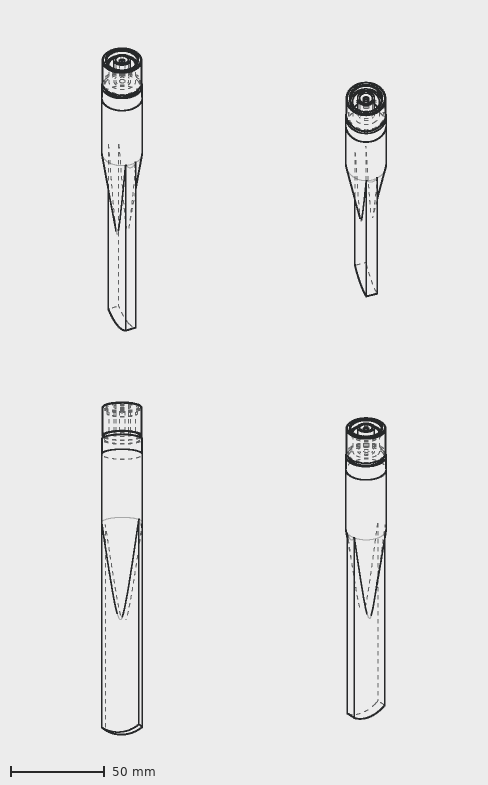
import cadquery as cq

TOTAL_LENGTH = 179.5
NUT_LENGTH = 15.8
NECK_LENGTH = 2.0
COLLAR_LENGTH = 8.3
SLEEVE_LENGTH = 37.3
TAPER_LENGTH = 54.2
neck_top = TOTAL_LENGTH - NUT_LENGTH
collar_top = neck_top - NECK_LENGTH
seam_height = collar_top - COLLAR_LENGTH
sleeve_bottom = seam_height - SLEEVE_LENGTH

NUT_DIAMETER = 21.0
NUT_CHAMFER = 0.5
NECK_DIAMETER = 19.0
COLLAR_DIAMETER = 21.5
BODY_DIAMETER = 21.7
MOUTH_DIAMETER = 17.6
ENTRY_DIAMETER = 16.5
BORE_DIAMETER = 14.4
TUBE_DIAMETER = 9.0
TUBE_BORE_DIAMETER = 6.8
PIN_DIAMETER = 3.0
PIN_TIP_DIAMETER = 1.6

MOUTH_DEPTH = 0.5
ENTRY_DEPTH = 3.5
BORE_DEPTH = 14.4
PIN_RECESS = 0.2
PIN_TIP_LENGTH = 0.7

BLADE_WIDTH = 21.0
BLADE_THICKNESS = 6.1
TIP_RISE = 3.5


def cylinder(diameter, bottom, top):
    """Solid cylinder on the Z axis between two heights."""
    return cq.Workplane("XY").workplane(offset=bottom).circle(diameter / 2).extrude(top - bottom)


def cone(bottom_diameter, top_diameter, bottom, top):
    """Solid truncated cone on the Z axis between two heights."""
    return cq.Workplane("XY").add(
        cq.Solid.makeCone(bottom_diameter / 2, top_diameter / 2, top - bottom, pnt=cq.Vector(0, 0, bottom))
    )


def make_connector():
    """Nut, neck and collar around a stepped socket with a tapered centre pin."""
    floor = TOTAL_LENGTH - BORE_DEPTH
    mouth_bottom = TOTAL_LENGTH - MOUTH_DEPTH
    entry_bottom = TOTAL_LENGTH - ENTRY_DEPTH
    pin_top = TOTAL_LENGTH - PIN_RECESS
    shoulder = pin_top - PIN_TIP_LENGTH

    shell = cylinder(COLLAR_DIAMETER, seam_height, collar_top)
    shell = shell.union(cylinder(NECK_DIAMETER, collar_top, neck_top))
    nut = cylinder(NUT_DIAMETER, neck_top, TOTAL_LENGTH).faces(">Z").chamfer(NUT_CHAMFER)
    shell = shell.union(nut)

    shell = shell.cut(cylinder(BORE_DIAMETER, floor, TOTAL_LENGTH))
    shell = shell.cut(cylinder(ENTRY_DIAMETER, entry_bottom, TOTAL_LENGTH))
    shell = shell.cut(cone(ENTRY_DIAMETER, MOUTH_DIAMETER, mouth_bottom, TOTAL_LENGTH))

    tube = cylinder(TUBE_DIAMETER, floor, TOTAL_LENGTH).cut(cylinder(TUBE_BORE_DIAMETER, floor, TOTAL_LENGTH))
    pin = cylinder(PIN_DIAMETER, floor, shoulder)
    pin = pin.union(cone(PIN_DIAMETER, PIN_TIP_DIAMETER, shoulder, pin_top))
    return shell.union(tube).union(pin)


def make_blade():
    """Flat blade with an arched lower end."""
    half_width = BLADE_WIDTH / 2
    return (
        cq.Workplane("XZ")
        .moveTo(-half_width, sleeve_bottom)
        .lineTo(-half_width, TIP_RISE)
        .threePointArc((0, 0), (half_width, TIP_RISE))
        .lineTo(half_width, sleeve_bottom)
        .close()
        .extrude(BLADE_THICKNESS / 2, both=True)
    )


def make_antenna():
    """Round sleeve tapering into the flat blade."""
    taper_bottom = sleeve_bottom - TAPER_LENGTH
    sleeve = cylinder(BODY_DIAMETER, sleeve_bottom, seam_height)
    taper = cone(BLADE_THICKNESS, BODY_DIAMETER, taper_bottom, sleeve_bottom)
    return sleeve.union(taper).union(make_blade())


connector = make_connector()
antenna = make_antenna()
result = cq.Compound.makeCompound([connector.val(), antenna.val()])